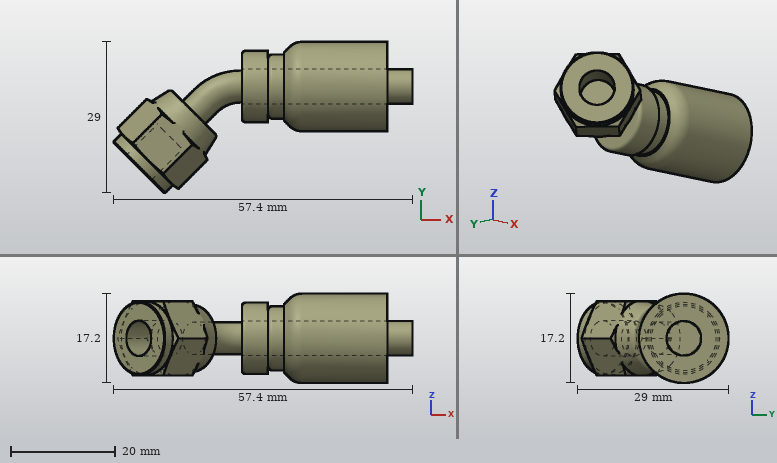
import cadquery as cq
import math


tail_radius = 3.35
tail_end_x = 32.8
elbow_radius = 3.1
elbow_lead_length = 0.3
bend_radius = 9.4
bend_angle = 45
elbow_straight_length = 3.15

collar_radius = 6.9
collar_width = 5.0
collar_fillet = 0.75

neck_radius = 6.2
neck_length = 3.1
neck_fillet = 0.9
shell_radius = 8.6
shell_end_x = 28.0
cone_start_radius = 6.55
cone_angle = 45
cone_blend_radius = 3.2

nut_length = 15.0
hex_across_flats = 14.3
back_radius = 6.3
back_fillet = 0.7
taper_end = 4.25
taper_end_radius = 7.3
hex_corner_start = 4.6
hex_corner_end = 12.5
flange_start = 12.75
flange_radius = 7.0
flange_chamfer = 0.2
nut_bore_radius = 3.4
nut_bore_depth = 8.45
hex_corner_radius = hex_across_flats / 2 / math.cos(math.pi / 6)


def bend_point(angle):
    """Point on the elbow's centre line after it has turned by the given angle in radians."""
    return (
        -elbow_lead_length - bend_radius * math.sin(angle),
        -bend_radius * (1 - math.cos(angle)),
    )


bend = math.radians(bend_angle)
bend_end = bend_point(bend)
nut_back = (
    bend_end[0] - elbow_straight_length * math.cos(bend),
    bend_end[1] - elbow_straight_length * math.sin(bend),
)


def cylinder_along_x(radius, start_x, end_x):
    return cq.Workplane("YZ", origin=(start_x, 0, 0)).circle(radius).extrude(end_x - start_x)


def revolve_about_x(outline):
    return outline.close().revolve(360, (0, 0, 0), (1, 0, 0))


def make_stem():
    """Straight hose tail with a thinner bent tube running on to the back of the nut."""
    path = (
        cq.Workplane("XY")
        .lineTo(-elbow_lead_length, 0)
        .threePointArc(bend_point(bend / 2), bend_end)
        .lineTo(*nut_back)
    )
    elbow = cq.Workplane("YZ").circle(elbow_radius).sweep(path)
    return cylinder_along_x(tail_radius, 0, tail_end_x).union(elbow)


def make_collar():
    """Plain ring with a rounded edge on its elbow side."""
    ring = cylinder_along_x(collar_radius, 0, collar_width).faces("<X").edges().fillet(collar_fillet)
    return ring.cut(cylinder_along_x(tail_radius, 0, collar_width))


def make_shell():
    """Sleeve with a rounded neck and a conical shoulder blended into a straight barrel."""
    cone = math.radians(cone_angle)
    cone_start_x = collar_width + neck_length
    cone_end_radius = shell_radius - cone_blend_radius * (1 - math.cos(cone))
    cone_end_x = cone_start_x + (cone_end_radius - cone_start_radius) / math.tan(cone)
    barrel_start_x = cone_end_x + cone_blend_radius * math.sin(cone)
    blend_middle = (
        barrel_start_x - cone_blend_radius * math.sin(cone / 2),
        shell_radius - cone_blend_radius * (1 - math.cos(cone / 2)),
    )
    barrel = revolve_about_x(
        cq.Workplane("XY")
        .moveTo(cone_start_x, 0)
        .lineTo(cone_start_x, cone_start_radius)
        .lineTo(cone_end_x, cone_end_radius)
        .threePointArc(blend_middle, (barrel_start_x, shell_radius))
        .lineTo(shell_end_x, shell_radius)
        .lineTo(shell_end_x, 0)
    )
    neck = cylinder_along_x(neck_radius, collar_width, cone_start_x).faces("<X").edges().fillet(neck_fillet)
    return barrel.union(neck).cut(cylinder_along_x(tail_radius, collar_width, shell_end_x))


def make_nut():
    """Hexagon trimmed by a turned profile, with a tapered back, a front flange and a blind bore."""
    envelope = revolve_about_x(
        cq.Workplane("XY")
        .lineTo(0, back_radius)
        .lineTo(taper_end, taper_end_radius)
        .lineTo(hex_corner_start, hex_corner_radius)
        .lineTo(hex_corner_end, hex_corner_radius)
        .lineTo(flange_start, flange_radius)
        .lineTo(nut_length - flange_chamfer, flange_radius)
        .lineTo(nut_length, flange_radius - flange_chamfer)
        .lineTo(nut_length, 0)
    )
    envelope = envelope.faces("<X").edges().fillet(back_fillet)
    hexagon = cq.Workplane("YZ").polygon(6, 2 * hex_corner_radius).extrude(nut_length)
    bore = cylinder_along_x(nut_bore_radius, nut_length - nut_bore_depth, nut_length)
    nut_along_x = hexagon.intersect(envelope).cut(bore)
    return nut_along_x.rotate((0, 0, 0), (0, 0, 1), 180 + bend_angle).translate((*nut_back, 0))


stem = make_stem()
collar = make_collar()
shell = make_shell()
nut = make_nut()

bodies = [stem, collar, shell, nut]
result = cq.Compound.makeCompound([body.solids().val() for body in bodies])